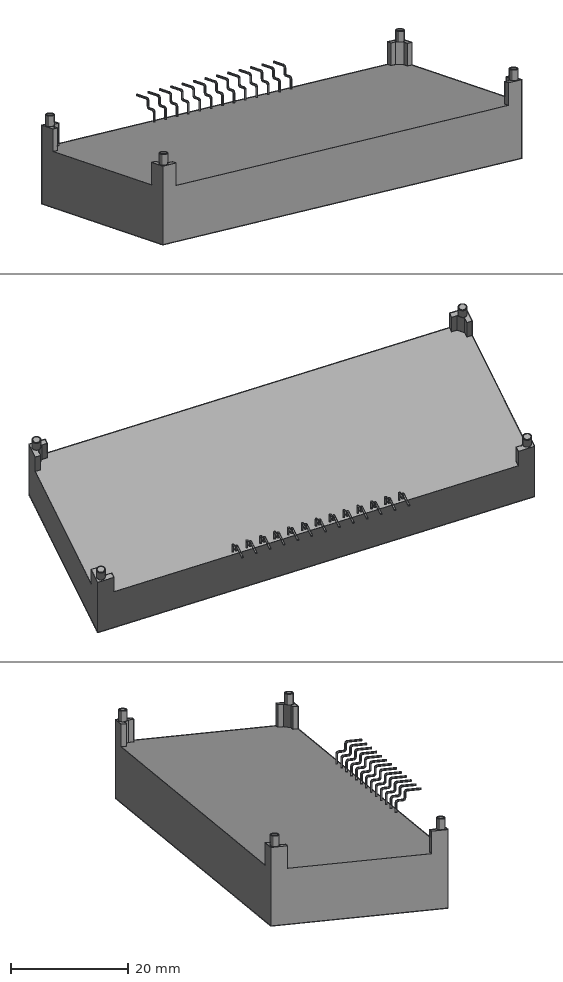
import cadquery as cq

BASE_WIDTH = 32.0
BASE_LENGTH = 80.0
BASE_HEIGHT = 10.0

POST_TOP = 14.0
CORNER_SIZE = 2.0
POST_WALL = CORNER_SIZE / 2
POST_ARM = CORNER_SIZE + POST_WALL
PEG_TOP = 16.0
PEG_DIAMETER = 1.5
PEG_CHAMFER = 0.12

PIN_COUNT = 13
PIN_ROW_LENGTH = 30.5
PIN_PITCH = PIN_ROW_LENGTH / (PIN_COUNT - 1)
PIN_ROW_CENTER_Y = -0.2
PIN_DIAMETER = 0.3
PIN_BEND_RADIUS = 0.4
PIN_ROOT_X = 0.6
PIN_RISER_X = -1.0
PIN_TIP_X = -3.8
PIN_STEP_Z = 12.1
PIN_END_Z = 13.8
PIN_EMBED = 0.4


def corner_post():
    """Post and peg for the front left corner, with arms along +X and +Y."""
    outline = [
        (0, 0),
        (POST_ARM, 0),
        (POST_ARM, POST_WALL),
        (CORNER_SIZE, POST_WALL),
        (POST_WALL, CORNER_SIZE),
        (POST_WALL, POST_ARM),
        (0, POST_ARM),
    ]
    post = cq.Workplane("XY").polyline(outline).close().extrude(POST_TOP)
    peg = (
        cq.Workplane("XY", origin=(POST_WALL, POST_WALL, POST_TOP))
        .circle(PEG_DIAMETER / 2)
        .extrude(PEG_TOP - POST_TOP)
        .faces(">Z")
        .chamfer(PEG_CHAMFER)
    )
    return post.union(peg).translate((0, -BASE_LENGTH / 2, 0))


def terminal_pin():
    """Round wire that rises from the base, steps out over the edge, rises again and ends level."""
    r = PIN_BEND_RADIUS
    foot_z = BASE_HEIGHT - PIN_EMBED
    path = (
        cq.Workplane("XZ")
        .moveTo(PIN_ROOT_X, foot_z)
        .lineTo(PIN_ROOT_X, PIN_STEP_Z - r)
        .radiusArc((PIN_ROOT_X - r, PIN_STEP_Z), -r)
        .lineTo(PIN_RISER_X + r, PIN_STEP_Z)
        .radiusArc((PIN_RISER_X, PIN_STEP_Z + r), r)
        .lineTo(PIN_RISER_X, PIN_END_Z - r)
        .radiusArc((PIN_RISER_X - r, PIN_END_Z), -r)
        .lineTo(PIN_TIP_X, PIN_END_Z)
    )
    foot = cq.Workplane("XY", origin=(PIN_ROOT_X, 0, foot_z)).circle(PIN_DIAMETER / 2)
    return foot.sweep(path)


result = cq.Workplane("XY").box(BASE_WIDTH, BASE_LENGTH, BASE_HEIGHT, centered=(False, True, False))

left_post = corner_post()
right_post = left_post.mirror("YZ").translate((BASE_WIDTH, 0, 0))
for post in (left_post, right_post):
    result = result.union(post).union(post.mirror("XZ"))

pin = terminal_pin()
first_pin_y = PIN_ROW_CENTER_Y - PIN_ROW_LENGTH / 2
for index in range(PIN_COUNT):
    result = result.union(pin.translate((0, first_pin_y + index * PIN_PITCH, 0)))